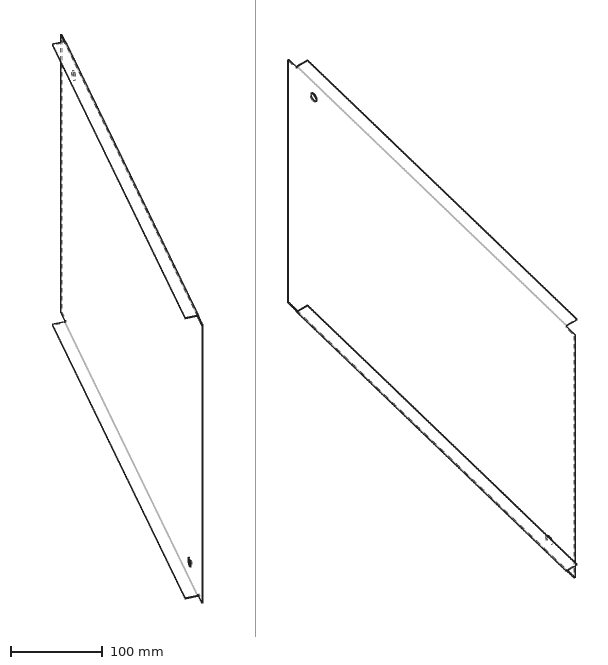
import cadquery as cq

panel_length = 507.0
overall_height = 406.0
overall_depth = 15.5
sheet_thickness = 1.5
bend_outer_radius = 2.0
bend_inner_radius = bend_outer_radius - sheet_thickness

flange_end_setback = 15.0
flange_length = panel_length - 2 * flange_end_setback
end_height = 400.5

hole_diameter = 10.5
hole_offset_x = 208.5
hole_offset_z = 178.5


def make_channel():
    """Flanged channel with rounded bends, centred on X and Z, back face at Y = 0."""
    channel = (
        cq.Workplane("XY")
        .box(flange_length, overall_depth, overall_height)
        .translate((0, -overall_depth / 2, 0))
        .edges("|X and >Y")
        .fillet(bend_outer_radius)
    )
    cavity = (
        cq.Workplane("XY")
        .box(flange_length, overall_depth, overall_height - 2 * sheet_thickness)
        .translate((0, -overall_depth / 2 - sheet_thickness, 0))
        .edges("|X and >Y")
        .fillet(bend_inner_radius)
    )
    return channel.cut(cavity)


def make_end_tab(side):
    """Flat strip continuing the web past the flanges; side is -1 or +1 along X."""
    return (
        cq.Workplane("XY")
        .box(flange_end_setback, sheet_thickness, end_height)
        .translate((side * (panel_length - flange_end_setback) / 2, -sheet_thickness / 2, 0))
    )


def make_hole(x, z):
    """Cutter along Y that passes through the web."""
    return (
        cq.Workplane("XZ")
        .center(x, z)
        .circle(hole_diameter / 2)
        .extrude(sheet_thickness)
    )


result = make_channel()
for side in (-1, 1):
    result = result.union(make_end_tab(side))
    result = result.cut(make_hole(side * hole_offset_x, -side * hole_offset_z))